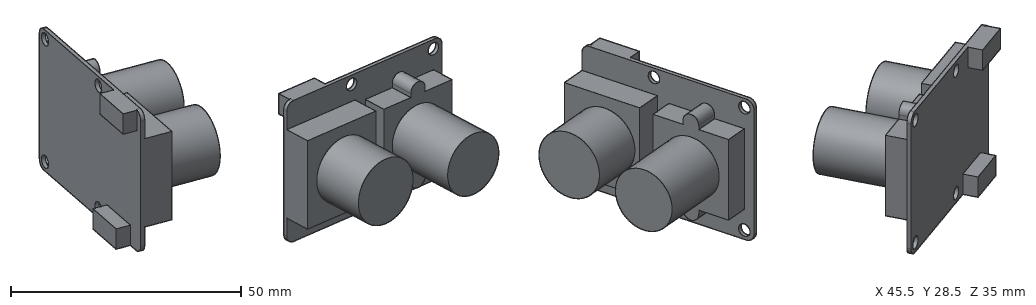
import cadquery as cq

board_width = 45.5
board_height = 35.0
board_thickness = 1.0
corner_radius = 2.0
mid_height = board_height / 2

hole_diameter = 3.0
hole_columns = (2.55, 26.5)
hole_edge_distance = 2.3

left_center_x = 12.5
left_base_side = 19.97
left_base_depth = 6.0
left_barrel_diameter = 15.0
left_barrel_reach = 23.95
ear_width = 4.2
ear_span = 26.2

right_base_width = 19.97
right_base_height = 21.95
right_base_depth = 6.75
right_barrel_center_x = 34.8
right_barrel_diameter = 16.0
right_barrel_reach = 20.25

connector_width = 10.45
connector_height = 5.05
upper_connector_depth = 3.45
lower_connector_depth = 3.55
upper_connector_x = 33.4
lower_connector_x = 30.4


def rear_plane(x, z):
    """Workplane on the rear face of the board, extruding toward +Y."""
    return cq.Workplane(cq.Plane((x, board_thickness, z), xDir=(-1, 0, 0), normal=(0, 1, 0)))


def make_board():
    board = cq.Workplane("XY").box(board_width, board_thickness, board_height, centered=False)
    board = board.edges("|Y").fillet(corner_radius)
    hole_rows = (hole_edge_distance, board_height - hole_edge_distance)
    holes = (
        cq.Workplane("XZ")
        .pushPoints([(x, z) for x in hole_columns for z in hole_rows])
        .circle(hole_diameter / 2)
        .extrude(-board_thickness)
    )
    return board.cut(holes)


def make_left_sensor():
    plane = rear_plane(left_center_x, mid_height)
    base = plane.rect(left_base_side, left_base_side).extrude(left_base_depth)
    ears = plane.slot2D(ear_span, ear_width, 90).extrude(left_base_depth)
    barrel = plane.circle(left_barrel_diameter / 2).extrude(left_barrel_reach)
    return base.union(ears).union(barrel)


def make_right_sensor():
    base_center_x = board_width - right_base_width / 2
    base = (
        rear_plane(base_center_x, mid_height)
        .rect(right_base_width, right_base_height)
        .extrude(right_base_depth)
    )
    barrel = (
        rear_plane(right_barrel_center_x, mid_height)
        .circle(right_barrel_diameter / 2)
        .extrude(right_barrel_reach)
    )
    return base.union(barrel)


def make_connector(x, z, depth):
    """Connector block with its lower left corner at (x, z)."""
    block = cq.Workplane("XY").box(connector_width, depth, connector_height, centered=False)
    return block.translate((x, -depth, z))


result = (
    make_board()
    .union(make_left_sensor())
    .union(make_right_sensor())
    .union(make_connector(upper_connector_x, board_height - connector_height, upper_connector_depth))
    .union(make_connector(lower_connector_x, 0, lower_connector_depth))
)